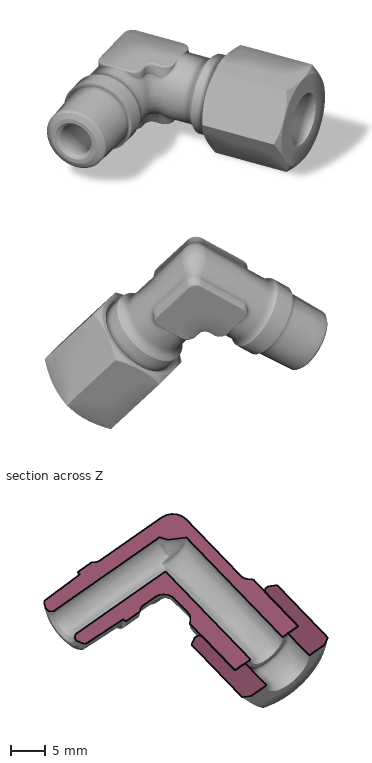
import cadquery as cq
import math


LEG_RADIUS = 5.0
CORNER_RADIUS = LEG_RADIUS / 2
CROTCH_RADIUS = 2.0
FLARE_RADIUS = 1.5
FLARE_ANGLE = math.radians(45)

MALE_FLARE_START = 9.1
MALE_COLLAR_RADIUS = 5.52
MALE_COLLAR_END = 12.98
MALE_END = 20.5
MALE_THREAD_RADIUS = 5.0
MALE_TAPER = 1 / 32
MALE_CHAMFER = 0.3
MALE_NOSE_LENGTH = 0.4
MALE_FACE_RADIUS = 3.67

STEM_FLARE_START = 10.05
STEM_RADIUS = 6.0
STEM_BORE_RADIUS = 3.0

MALE_BORE_RADIUS = 2.5
MALE_BORE_COUNTERSINK = 0.52
DRILL_HALF_ANGLE = math.radians(59)

PAD_HALF_WIDTH = 3.55
PAD_DRAFT_ANGLE = math.radians(11)
PAD_REACH = 6.95
PAD_HALF_HEIGHT = 5.03
PAD_CORNER_RADIUS = 1.5
PAD_NOTCH_RADIUS = 1.0
PAD_EDGE_RADIUS = 0.3

NUT_START = 13.95
NUT_END = 26.93
NUT_ACROSS_FLATS = 14.0
NUT_FACE_RADIUS = 6.95
NUT_CHAMFER_ANGLE = math.radians(30)
NUT_SOCKET_DEPTH = 8.1
NUT_TUBE_RADIUS = 4.0
NUT_ENTRY_CHAMFER = 0.32

STEM_END = NUT_START + NUT_SOCKET_DEPTH


def lay_on_male_leg(solid):
    """Turn a solid modelled along +X so that it lies along -Y."""
    return solid.rotate((0, 0, 0), (0, 0, 1), -90)


def revolve_about_x(profile):
    return profile.close().revolve(360, (0, 0, 0), (1, 0, 0))


def flared_leg(flare_start, collar_radius):
    """Open half profile of a leg from the corner rounding to the top of its flare."""
    arc_end_x = flare_start + FLARE_RADIUS * math.sin(FLARE_ANGLE)
    arc_end_r = LEG_RADIUS + FLARE_RADIUS * (1 - math.cos(FLARE_ANGLE))
    arc_mid_x = flare_start + FLARE_RADIUS * math.sin(FLARE_ANGLE / 2)
    arc_mid_r = LEG_RADIUS + FLARE_RADIUS * (1 - math.cos(FLARE_ANGLE / 2))
    collar_start = arc_end_x + (collar_radius - arc_end_r) / math.tan(FLARE_ANGLE)
    return (
        cq.Workplane("XY")
        .moveTo(-CORNER_RADIUS, 0)
        .lineTo(-CORNER_RADIUS, LEG_RADIUS)
        .lineTo(flare_start, LEG_RADIUS)
        .threePointArc((arc_mid_x, arc_mid_r), (arc_end_x, arc_end_r))
        .lineTo(collar_start, collar_radius)
    )


def stem_leg():
    profile = (
        flared_leg(STEM_FLARE_START, STEM_RADIUS)
        .lineTo(STEM_END, STEM_RADIUS)
        .lineTo(STEM_END, 0)
    )
    return revolve_about_x(profile)


def male_leg():
    nose_start = MALE_END - MALE_NOSE_LENGTH
    thread_end = nose_start - MALE_CHAMFER
    thread_end_radius = MALE_THREAD_RADIUS - MALE_TAPER * (thread_end - MALE_COLLAR_END)
    profile = (
        flared_leg(MALE_FLARE_START, MALE_COLLAR_RADIUS)
        .lineTo(MALE_COLLAR_END, MALE_COLLAR_RADIUS)
        .lineTo(MALE_COLLAR_END, MALE_THREAD_RADIUS)
        .lineTo(thread_end, thread_end_radius)
        .lineTo(nose_start, thread_end_radius - MALE_CHAMFER)
        .lineTo(MALE_END, MALE_FACE_RADIUS)
        .lineTo(MALE_END, 0)
    )
    return lay_on_male_leg(revolve_about_x(profile))


def outer_corner():
    """The outer part of the leg's round section, swept a quarter turn round the bend."""
    half_chord = math.sqrt(LEG_RADIUS**2 - CORNER_RADIUS**2)
    return (
        cq.Workplane("XZ", origin=(-CORNER_RADIUS, CORNER_RADIUS, 0))
        .moveTo(0, -half_chord)
        .threePointArc((CORNER_RADIUS - LEG_RADIUS, 0), (0, half_chord))
        .close()
        .revolve(90, (0, 0, 0), (0, -1, 0))
    )


def pad_outline(workplane, stem_side_width):
    """L-shape over the bend; only its half width across the stem leg varies with height."""
    return (
        workplane
        .moveTo(-PAD_HALF_WIDTH, stem_side_width)
        .lineTo(PAD_REACH, stem_side_width)
        .lineTo(PAD_REACH, -stem_side_width)
        .lineTo(PAD_HALF_WIDTH, -stem_side_width)
        .lineTo(PAD_HALF_WIDTH, -PAD_REACH)
        .lineTo(-PAD_HALF_WIDTH, -PAD_REACH)
        .close()
    )


def upper_pad():
    """Block rising from the plane of the axes; its top stands out of the legs as a pad."""
    base_width = PAD_HALF_WIDTH + PAD_HALF_HEIGHT * math.tan(PAD_DRAFT_ANGLE)
    base = pad_outline(cq.Workplane("XY"), base_width)
    block = pad_outline(base.workplane(offset=PAD_HALF_HEIGHT), PAD_HALF_WIDTH).loft(ruled=True)
    notch_point = (PAD_HALF_WIDTH, -PAD_HALF_WIDTH, PAD_HALF_HEIGHT / 2)
    notch_edge = cq.selectors.NearestToPointSelector(notch_point)
    upright_edges = cq.selectors.StringSyntaxSelector("not(#Z)")
    corner_edges = cq.selectors.SubtractSelector(upright_edges, notch_edge)
    return (
        block
        .edges(corner_edges).fillet(PAD_CORNER_RADIUS)
        .edges(notch_edge).fillet(PAD_NOTCH_RADIUS)
        .faces(">Z").edges().fillet(PAD_EDGE_RADIUS)
    )


def pads():
    upper = upper_pad()
    return upper.union(upper.mirror("XY"))


def drilled_bore(radius, end):
    """Bore along +X from the crossing of the axes, with a drill point beyond it."""
    point_length = radius / math.tan(DRILL_HALF_ANGLE)
    profile = (
        cq.Workplane("XY")
        .moveTo(-point_length, 0)
        .lineTo(0, radius)
        .lineTo(end, radius)
        .lineTo(end, 0)
    )
    return revolve_about_x(profile)


def male_bore():
    """Bore of the male leg with a 45 degree countersink at its mouth."""
    cone_height = MALE_BORE_RADIUS + MALE_BORE_COUNTERSINK
    countersink = revolve_about_x(
        cq.Workplane("XY")
        .moveTo(MALE_END - cone_height, 0)
        .lineTo(MALE_END, cone_height)
        .lineTo(MALE_END, 0)
    )
    return lay_on_male_leg(drilled_bore(MALE_BORE_RADIUS, MALE_END).union(countersink))


def make_elbow():
    legs = stem_leg().union(male_leg()).union(outer_corner())
    body = legs.union(pads())
    crotch = cq.selectors.NearestToPointSelector((LEG_RADIUS, -LEG_RADIUS, 0))
    body = body.edges(crotch).fillet(CROTCH_RADIUS)
    return body.cut(drilled_bore(STEM_BORE_RADIUS, STEM_END)).cut(male_bore())


def make_nut():
    corner_radius = NUT_ACROSS_FLATS / 2 / math.cos(math.pi / 6)
    chamfer_length = (corner_radius - NUT_FACE_RADIUS) * math.tan(NUT_CHAMFER_ANGLE)
    hexagon = (
        cq.Workplane("YZ", origin=(NUT_START, 0, 0))
        .polygon(6, 2 * corner_radius)
        .extrude(NUT_END - NUT_START)
    )
    envelope = revolve_about_x(
        cq.Workplane("XY")
        .moveTo(NUT_START, 0)
        .lineTo(NUT_START, NUT_FACE_RADIUS)
        .lineTo(NUT_START + chamfer_length, corner_radius)
        .lineTo(NUT_END - chamfer_length, corner_radius)
        .lineTo(NUT_END, NUT_FACE_RADIUS)
        .lineTo(NUT_END, 0)
    )
    bore = revolve_about_x(
        cq.Workplane("XY")
        .moveTo(NUT_START, 0)
        .lineTo(NUT_START, STEM_RADIUS + NUT_ENTRY_CHAMFER)
        .lineTo(NUT_START + NUT_ENTRY_CHAMFER, STEM_RADIUS)
        .lineTo(STEM_END, STEM_RADIUS)
        .lineTo(STEM_END, NUT_TUBE_RADIUS)
        .lineTo(NUT_END, NUT_TUBE_RADIUS)
        .lineTo(NUT_END, 0)
    )
    return hexagon.intersect(envelope).cut(bore)


elbow = make_elbow().solids()
nut = make_nut().solids()

result = cq.Compound.makeCompound([elbow.val(), nut.val()])